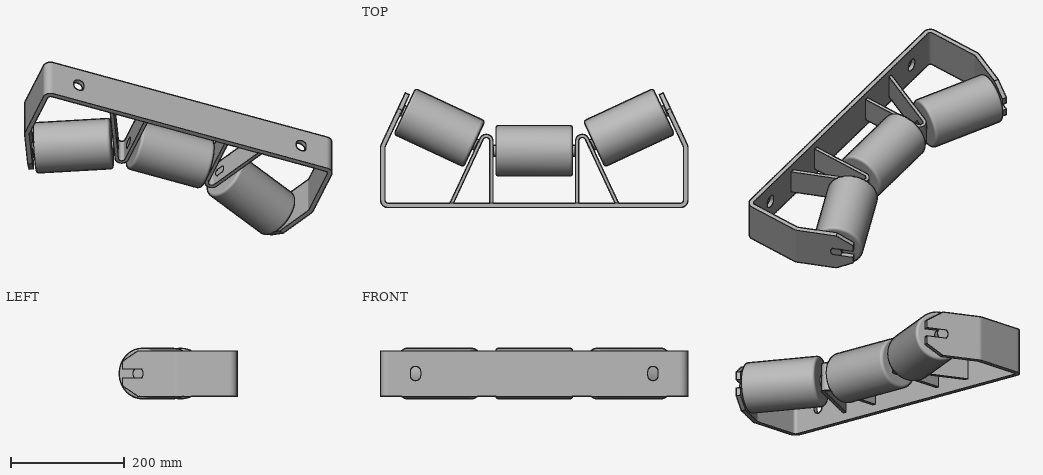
import cadquery as cq
import math

tilt = 25.0

roller_dia = 89.0
roller_length = 135.0
roller_edge_fillet = 5.0
centre_roller_y = 100.0
outer_roller_x = 166.5
outer_roller_y = 140.5

shaft_dia = 20.0
shaft_flat_width = 15.0
mount_gap = 5.0
flat_gap = 1.0

frame_length = 540.0
frame_height = 80.0
frame_thickness = 8.0
frame_bend_radius = 13.5
arm_overhang = 30.0
arm_corner_along = 30.0
arm_corner_across = 18.5

fixing_slot_x = 208.5
fixing_slot_width = 18.5
fixing_slot_height = 25.5

bracket_height = 50.0
bracket_thickness = 6.0
bracket_bend_radius = 12.0

cos_tilt = math.cos(math.radians(tilt))
sin_tilt = math.sin(math.radians(tilt))
mount_reach = roller_length / 2 + mount_gap
frame_reach = mount_reach + frame_thickness
bracket_reach = mount_reach + bracket_thickness
frame_bend_inner = frame_bend_radius - frame_thickness
bracket_bend_inner = bracket_bend_radius - bracket_thickness


def outer_roller_point(along, across):
    """XY point of the right outer roller, measured along its axis and square to it."""
    return (
        outer_roller_x + along * cos_tilt - across * sin_tilt,
        outer_roller_y + along * sin_tilt + across * cos_tilt,
    )


def across_at_x(along, x):
    """Distance square to the outer roller's axis at which a plate face reaches x."""
    return (outer_roller_x + along * cos_tilt - x) / sin_tilt


def across_at_y(along, y):
    """Distance square to the outer roller's axis at which a plate face reaches y."""
    return (y - outer_roller_y - along * sin_tilt) / cos_tilt


def seat_outer(body):
    """Move a body from the origin, axis along X, to the right outer roller's place."""
    return body.rotate((0, 0, 0), (0, 0, 1), tilt).translate((outer_roller_x, outer_roller_y, 0))


def seat_centre(body):
    """Move a body from the origin, axis along X, to the centre roller's place."""
    return body.translate((0, centre_roller_y, 0))


def mirror_x(body):
    return body.mirror("YZ")


def x_cylinder(diameter, start, end):
    return cq.Workplane("YZ", origin=(start, 0, 0)).circle(diameter / 2).extrude(end - start)


def extrude_strip(outline, height):
    return outline.close().extrude(height / 2, both=True)


def shaft_end(start, end):
    """Round bar along X with two flats facing up and down."""
    flats = cq.Workplane("XY").box(2 * end, shaft_dia, shaft_flat_width)
    return x_cylinder(shaft_dia, start, end).intersect(flats)


def make_roller(left_reach, right_reach):
    """Roller along X at the origin; each reach runs from its middle to a shaft end."""
    half_length = roller_length / 2
    flat_start = mount_reach - flat_gap
    barrel = x_cylinder(roller_dia, -half_length, half_length).edges().fillet(roller_edge_fillet)
    return (
        barrel.union(x_cylinder(shaft_dia, -flat_start, flat_start))
        .union(mirror_x(shaft_end(flat_start, left_reach)))
        .union(shaft_end(flat_start, right_reach))
    )


def frame_strip():
    half_length = frame_length / 2
    inner_x = half_length - frame_thickness
    back_outer = (half_length, 0)
    back_inner = (inner_x, frame_thickness)
    arm_outer = outer_roller_point(frame_reach, across_at_x(frame_reach, half_length))
    arm_inner = outer_roller_point(mount_reach, across_at_x(mount_reach, inner_x))
    strip = extrude_strip(
        cq.Workplane("XY").moveTo(0, 0).lineTo(*back_outer).lineTo(*arm_outer)
        .lineTo(*outer_roller_point(frame_reach, arm_overhang))
        .lineTo(*outer_roller_point(mount_reach, arm_overhang))
        .lineTo(*arm_inner).lineTo(*back_inner).lineTo(0, frame_thickness),
        frame_height,
    )
    bends = (
        (back_outer, frame_bend_radius),
        (back_inner, frame_bend_inner),
        (arm_outer, frame_bend_radius),
        (arm_inner, frame_bend_inner),
    )
    for (x, y), radius in bends:
        strip = strip.edges(cq.NearestToPointSelector((x, y, 0))).fillet(radius)
    return strip


def arm_corner_cuts():
    """Slanted cuts across the top and bottom corners of the right arm."""
    half_height = frame_height / 2
    cut = (
        cq.Workplane("YZ", origin=(mount_reach, 0, 0))
        .moveTo(arm_overhang - arm_corner_along, half_height)
        .lineTo(arm_overhang, half_height - arm_corner_across)
        .lineTo(arm_overhang, half_height)
        .close()
        .extrude(frame_thickness)
    )
    return seat_outer(cut.union(cut.mirror("XY")))


def arm_slot():
    """Open slot in the right arm, with a bottom that fits the shaft end."""
    channel = cq.Workplane("XY").box(
        frame_thickness, arm_overhang, shaft_flat_width, centered=(False, False, True)
    ).translate((mount_reach, 0, 0))
    return seat_outer(channel.union(shaft_end(mount_reach, frame_reach)))


def fixing_slot():
    """Upright slot with round ends through the right part of the back."""
    return (
        cq.Workplane("XZ", origin=(fixing_slot_x, 0, 0))
        .slot2D(fixing_slot_height, fixing_slot_width, 90)
        .extrude(-frame_thickness)
    )


def make_frame():
    half_frame = frame_strip().cut(arm_corner_cuts()).cut(arm_slot()).cut(fixing_slot())
    return half_frame.union(mirror_x(half_frame))


def bracket_strip():
    """Straight leg beside the centre roller, bend, then slanted leg beside the outer one."""
    bend_along = -mount_reach - bracket_bend_radius
    bend_x = mount_reach + bracket_bend_radius
    bend_across = across_at_x(bend_along, bend_x)
    bend_y = outer_roller_point(bend_along, bend_across)[1]
    bend_middle_angle = math.radians((180 + tilt) / 2)

    def bend_top(radius):
        return (
            bend_x + radius * math.cos(bend_middle_angle),
            bend_y + radius * math.sin(bend_middle_angle),
        )

    def slanted_foot(along):
        return outer_roller_point(along, across_at_y(along, frame_thickness))

    return extrude_strip(
        cq.Workplane("XY")
        .moveTo(mount_reach, frame_thickness)
        .lineTo(mount_reach, bend_y)
        .threePointArc(bend_top(bracket_bend_radius), outer_roller_point(-mount_reach, bend_across))
        .lineTo(*slanted_foot(-mount_reach))
        .lineTo(*slanted_foot(-bracket_reach))
        .lineTo(*outer_roller_point(-bracket_reach, bend_across))
        .threePointArc(bend_top(bracket_bend_inner), (bracket_reach, bend_y))
        .lineTo(bracket_reach, frame_thickness),
        bracket_height,
    )


def make_bracket():
    """Right bracket, with a hole in each leg that fits the shaft end in it."""
    shaft_hole = shaft_end(mount_reach, bracket_reach)
    return bracket_strip().cut(seat_centre(shaft_hole)).cut(seat_outer(mirror_x(shaft_hole)))


frame = make_frame().solids()
centre_roller = seat_centre(make_roller(bracket_reach, bracket_reach)).solids()
right_roller = seat_outer(make_roller(bracket_reach, frame_reach)).solids()
right_bracket = make_bracket().solids()

bodies = [frame.val(), centre_roller.val()]
for right_body in (right_roller, right_bracket):
    bodies.append(right_body.val())
    bodies.append(mirror_x(right_body).val())

result = cq.Compound.makeCompound(bodies)